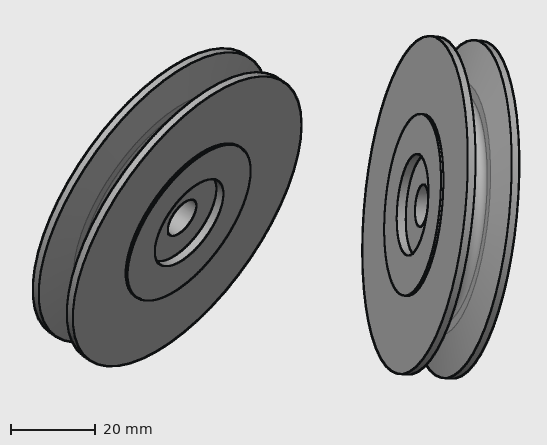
import cadquery as cq

wheel_diameter = 80.0
wheel_width = 12.8
hub_diameter = 43.0
overall_width = 14.0
bore_diameter = 10.0
recess_diameter = 24.0
recess_depth = 2.2

rim_land = 1.9
groove_width = 5.0
mouth_depth = 10.0
groove_depth = 15.0

wheel_radius = wheel_diameter / 2
groove_floor_radius = groove_width / 2
half_mouth = wheel_width / 2 - rim_land
mouth_bottom = wheel_radius - mouth_depth
groove_bottom = wheel_radius - groove_depth
floor_center = groove_bottom + groove_floor_radius


def disc(diameter, width, start):
    """Disc along +X whose left face lies at x = start."""
    return cq.Workplane("YZ").workplane(offset=start).circle(diameter / 2).extrude(width)


def rope_groove():
    """Ring of material removed from the rim, revolved about X."""
    profile = (
        cq.Workplane("XY")
        .moveTo(-half_mouth, wheel_radius)
        .lineTo(-groove_floor_radius, mouth_bottom)
        .lineTo(-groove_floor_radius, floor_center)
        .threePointArc((0, groove_bottom), (groove_floor_radius, floor_center))
        .lineTo(groove_floor_radius, mouth_bottom)
        .lineTo(half_mouth, wheel_radius)
        .close()
    )
    return profile.revolve(360, (0, 0, 0), (1, 0, 0))


wheel = disc(wheel_diameter, wheel_width, -wheel_width / 2)
hub = disc(hub_diameter, overall_width, -overall_width / 2)
result = wheel.union(hub).cut(rope_groove())

for recess_start in (-overall_width / 2, overall_width / 2 - recess_depth):
    result = result.cut(disc(recess_diameter, recess_depth, recess_start))

result = result.cut(disc(bore_diameter, overall_width, -overall_width / 2))